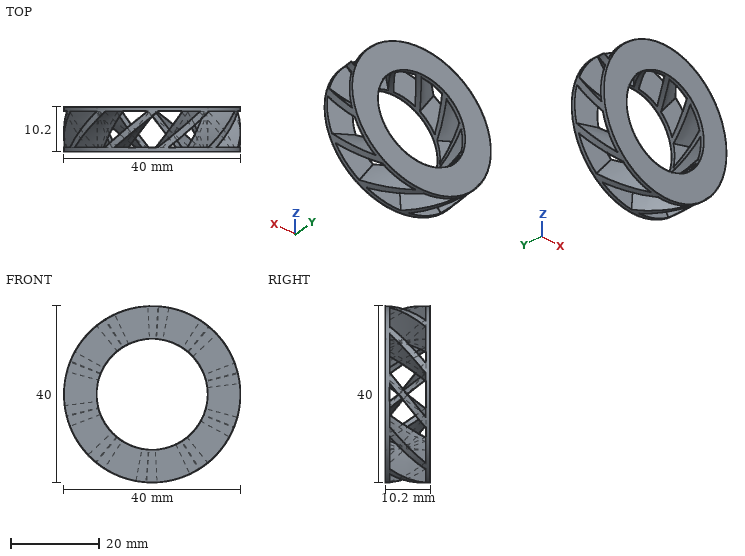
import cadquery as cq
import math

outer_diameter = 40
bore_diameter = 25.1
total_width = 10.2
plate_thickness = 1.0
strut_count = 10
strut_angular_width = 7.2
strut_twist = 29.4
first_strut_angle = -118.8
radial_clearance = 0.8

outer_radius = outer_diameter / 2
bore_radius = bore_diameter / 2
strut_gap = total_width - 2 * plate_thickness
strut_pitch = 360 / strut_count
window_angular_width = strut_pitch - strut_angular_width


def polar(radius, angle):
    """Point at a radius and an angle in degrees."""
    return (radius * math.cos(math.radians(angle)), radius * math.sin(math.radians(angle)))


def twisted_window(middle_angle):
    """Annular sector between the plates that turns about the axis along its length."""
    inner = bore_radius - radial_clearance
    outer = outer_radius + radial_clearance
    start = middle_angle - window_angular_width / 2
    end = middle_angle + window_angular_width / 2
    sector = (
        cq.Workplane("XY")
        .workplane(offset=plate_thickness)
        .moveTo(*polar(inner, start))
        .lineTo(*polar(outer, start))
        .threePointArc(polar(outer, middle_angle), polar(outer, end))
        .lineTo(*polar(inner, end))
        .threePointArc(polar(inner, middle_angle), polar(inner, start))
        .close()
    )
    return sector.twistExtrude(strut_gap, strut_twist)


wheel = cq.Workplane("XY").circle(outer_radius).circle(bore_radius).extrude(total_width)

first_window_angle = first_strut_angle + strut_pitch / 2
for index in range(strut_count):
    wheel = wheel.cut(twisted_window(first_window_angle + index * strut_pitch))

result = wheel.translate((0, 0, -total_width / 2)).rotate((0, 0, 0), (1, 0, 0), -90)